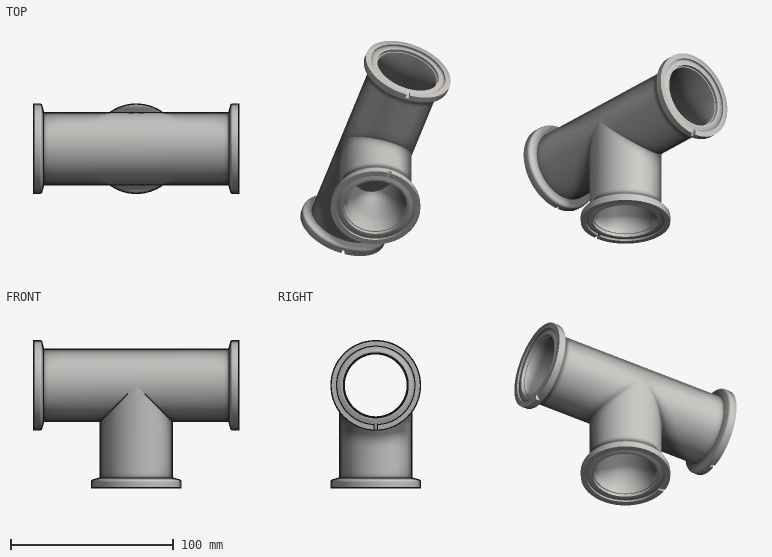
import cadquery as cq
import math

reach = 63.0
tube_od = 44.5
tube_bore = 38.7

flange_od = 55.0
flange_bore = 40.0
flange_length = 6.2
taper_angle = 15.0
rim_fillet = 1.5
recess_diameter = 48.3
recess_depth = 1.3
nose_base_diameter = 47.2
nose_tip_diameter = 42.1
tube_seat_depth = 2.5
notch_width = 2.0

tube_length = reach - tube_seat_depth
taper_slope = math.tan(math.radians(taper_angle))
rim_length = flange_length - (flange_od - tube_od) / 2 * taper_slope
nose_tip_depth = recess_depth - (nose_base_diameter - nose_tip_diameter) / 2 * taper_slope
notch_rim_depth = recess_depth + (flange_od - nose_base_diameter) / 2 * taper_slope


def cylinder(diameter, length, direction):
    """Cylinder that runs from the tube crossing along a direction."""
    return cq.Workplane(cq.Solid.makeCylinder(diameter / 2, length, cq.Vector(0, 0, 0), direction))


def make_tee():
    """Straight run along X with an equal branch down Z."""
    left = cq.Vector(-1, 0, 0)
    right = cq.Vector(1, 0, 0)
    down = cq.Vector(0, 0, -1)
    tee = cylinder(tube_od, tube_length, left)
    tee = tee.union(cylinder(tube_od, tube_length, right))
    tee = tee.union(cylinder(tube_od, tube_length, down))
    for direction in (left, right, down):
        tee = tee.cut(cylinder(tube_bore, tube_length, direction))
    return tee


def make_flange():
    """Flange with its outer face on the XY plane, its body along +Z and its notch toward -X."""
    section = [
        (recess_diameter / 2, 0),
        (flange_od / 2, 0),
        (flange_od / 2, rim_length),
        (tube_od / 2, flange_length),
        (tube_od / 2, tube_seat_depth),
        (flange_bore / 2, tube_seat_depth),
        (flange_bore / 2, nose_tip_depth),
        (nose_tip_diameter / 2, nose_tip_depth),
        (nose_base_diameter / 2, recess_depth),
        (recess_diameter / 2, recess_depth),
    ]
    flange = cq.Workplane("XZ").polyline(section).close().revolve(360, (0, 0, 0), (0, 1, 0))

    rim_edge = cq.selectors.RadiusNthSelector(-1)
    flange = flange.edges("%CIRCLE").edges("not <Z").edges(rim_edge).fillet(rim_fillet)

    notch_section = [
        (-nose_base_diameter / 2, 0),
        (-flange_od / 2, 0),
        (-flange_od / 2, notch_rim_depth),
        (-nose_base_diameter / 2, recess_depth),
    ]
    notch = cq.Workplane("XZ").polyline(notch_section).close().extrude(notch_width / 2, both=True)
    return flange.cut(notch)


tee = make_tee()

flange = make_flange()
branch_flange = flange.translate((0, 0, -reach))

left_flange = (
    flange
    .rotate((0, 0, 0), (0, 0, 1), 180)
    .rotate((0, 0, 0), (0, 1, 0), 90)
    .translate((-reach, 0, 0))
)
right_flange = left_flange.mirror("YZ")

result = cq.Compound.makeCompound(
    [tee.val(), branch_flange.val(), left_flange.val(), right_flange.val()]
)